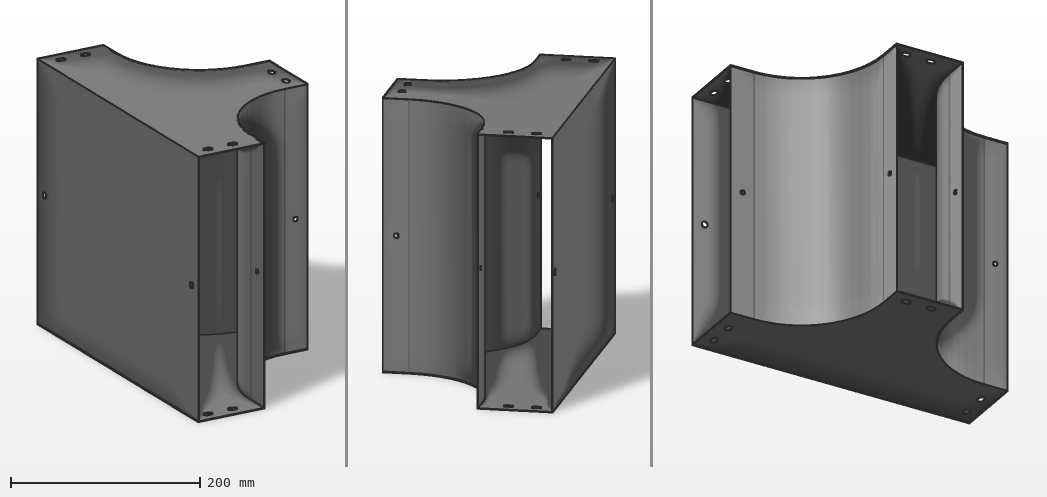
import cadquery as cq

length = 338.0
depth = 209.0
height = 300.0

duct_width = 81.0
bend_radius = 99.7
wall = 1.0

end_setback = 15.0
slot_length = 10.5
slot_width = 7.0
slot_spacing = 30.0
slot_edge_distance = 20.3
front_hole_diameter = 7.0
back_hole_diameter = 5.0

half_length = length / 2
front_y = -depth / 2
back_y = depth / 2


def tee_prism(inset, prism_height):
    """Centred T prism, with its side walls moved inward but its ends kept in place."""
    half_branch = duct_width / 2 - inset
    run_back_y = front_y + duct_width - inset
    radius = bend_radius + inset
    bend_x = half_branch + radius
    bend_y = run_back_y + radius
    outline = (
        cq.Workplane("XY")
        .workplane(offset=-prism_height / 2)
        .moveTo(-half_length, front_y + inset)
        .lineTo(half_length, front_y + inset)
        .lineTo(half_length, run_back_y)
        .lineTo(bend_x, run_back_y)
        .radiusArc((half_branch, bend_y), radius)
        .lineTo(half_branch, back_y)
        .lineTo(-half_branch, back_y)
        .lineTo(-half_branch, bend_y)
        .radiusArc((-bend_x, run_back_y), radius)
        .lineTo(-half_length, run_back_y)
        .close()
    )
    return outline.extrude(prism_height)


def slot_cutter(points, angle):
    """Slots through both the top and bottom plates."""
    return (
        cq.Workplane("XY")
        .pushPoints(points)
        .slot2D(slot_length, slot_width, angle)
        .extrude(height, both=True)
    )


result = tee_prism(0, height).cut(tee_prism(wall, height - 2 * wall))

run_hole_x = half_length - end_setback
branch_hole_y = back_y - end_setback
slot_distances = [slot_edge_distance, slot_edge_distance + slot_spacing]
run_slots = [
    (side * run_hole_x, front_y + distance)
    for side in (-1, 1)
    for distance in slot_distances
]
branch_slots = [(duct_width / 2 - distance, branch_hole_y) for distance in slot_distances]
result = result.cut(slot_cutter(run_slots, 90))
result = result.cut(slot_cutter(branch_slots, 0))

run_holes = [(-run_hole_x, 0), (run_hole_x, 0)]
small_holes = (
    cq.Workplane("XZ", origin=(0, front_y, 0))
    .pushPoints(run_holes)
    .circle(back_hole_diameter / 2)
    .extrude(-depth)
)
large_holes = (
    cq.Workplane("XZ", origin=(0, front_y, 0))
    .pushPoints(run_holes)
    .circle(front_hole_diameter / 2)
    .extrude(-duct_width / 2)
)
result = result.cut(small_holes).cut(large_holes)

branch_holes = (
    cq.Workplane("YZ")
    .center(branch_hole_y, 0)
    .circle(back_hole_diameter / 2)
    .extrude(duct_width, both=True)
)
result = result.cut(branch_holes)